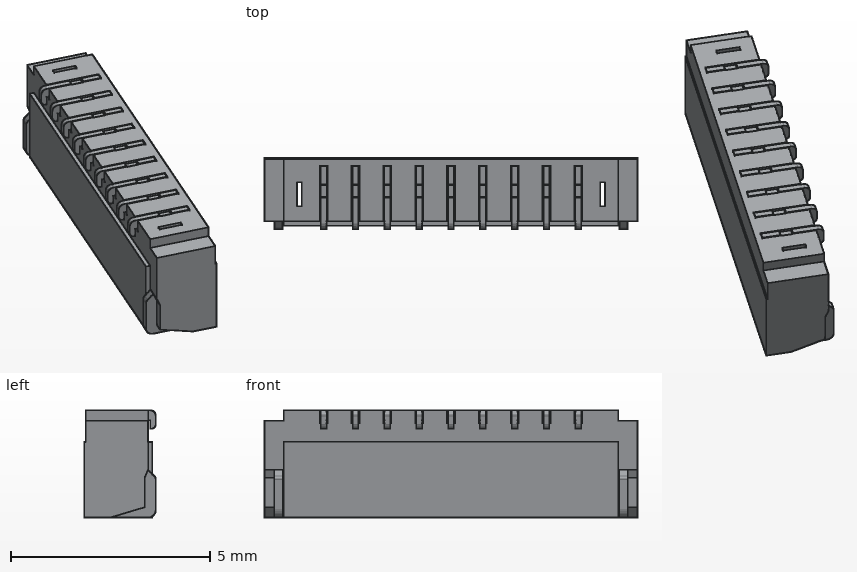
import cadquery as cq

LENGTH = 9.38
HEIGHT = 2.7
DEPTH_LOWER = 1.6
DEPTH_UPPER = 1.57
PANEL_TOP = 1.9
END_STEP_DROP = 0.26
END_STEP_LENGTH = 0.49
PANEL_THICKNESS = 0.11
PROUD = 0.2

CONTACT_COUNT = 9
ROW_LENGTH = 6.4
CONTACT_WIDTH = 0.15
SLOT_WIDTH = 0.21
SLOT_DEPTH = 0.33
SLOT_BACK = 1.4
SLOT_END_GAP = 0.01
CONTACT_THICKNESS = 0.25
TAIL_THICKNESS = 0.14
TAIL_LENGTH = 0.47
BEND_RADIUS = 0.14
TIP_RADIUS = 0.11
DIP_FRONT = 0.6
DIP_BACK = 0.93
DIP_DEPTH = 0.04
DIP_RAMP = 0.02

WINDOW_X = 3.81
WINDOW_WIDTH = 0.11
WINDOW_FRONT = 0.38
WINDOW_BACK = 0.985

NOTCH_DEPTH = 0.08
NOTCH_TOP = 1.2
NOTCH_SHOULDER = 1.0
NOTCH_FOOT = 0.26
NOTCH_TAIL = 0.97
CLIP_INSET = 0.25
CLIP_WIDTH = 0.21
CLIP_TOP = 1.2
CLIP_SHOULDER = 1.01
CLIP_SHOULDER_RADIUS = 0.12
CLIP_FOOT_RADIUS = 0.2


def block(x_size, y_min, y_max, z_min, z_max, x_mid=0.0):
    """Box centred on x_mid along X, given by its limits along Y and Z."""
    return (
        cq.Workplane("XY")
        .box(x_size, y_max - y_min, z_max - z_min, centered=(True, False, False))
        .translate((x_mid, y_min, z_min))
    )


def side_profile(points, x_min, width):
    """Outline of (Y, Z) points extruded along X from x_min."""
    return cq.Workplane("YZ").workplane(offset=x_min).polyline(points).close().extrude(width)


def both_ends(shape):
    return shape.union(shape.mirror("YZ"))


def make_housing():
    panel_length = LENGTH - 2 * END_STEP_LENGTH
    lower = block(LENGTH, 0, DEPTH_LOWER, 0, PANEL_TOP)
    upper = block(LENGTH, 0, DEPTH_UPPER, PANEL_TOP, HEIGHT - END_STEP_DROP)
    ridge = block(panel_length, 0, DEPTH_UPPER, PANEL_TOP, HEIGHT)
    panel = block(panel_length, -PANEL_THICKNESS, 0, 0, PANEL_TOP)
    return lower.union(upper).union(ridge).union(panel)


def make_windows():
    return both_ends(block(WINDOW_WIDTH, WINDOW_FRONT, WINDOW_BACK, 0, HEIGHT, WINDOW_X))


def make_notches():
    outline = [
        (0, NOTCH_TOP),
        (NOTCH_DEPTH, NOTCH_SHOULDER),
        (NOTCH_DEPTH, NOTCH_FOOT),
        (NOTCH_TAIL, 0),
        (0, 0),
    ]
    return both_ends(side_profile(outline, -LENGTH / 2, CLIP_INSET))


def make_clips():
    outline = [
        (0, CLIP_TOP),
        (-PROUD, CLIP_SHOULDER),
        (-PROUD, 0),
        (NOTCH_DEPTH, 0),
        (NOTCH_DEPTH, CLIP_TOP),
    ]
    clip = side_profile(outline, -LENGTH / 2 + CLIP_INSET, CLIP_WIDTH)
    clip = clip.faces("<Y").edges("|X").edges(">Z").fillet(CLIP_SHOULDER_RADIUS)
    clip = clip.faces("<Y").edges("|X").edges("<Z").fillet(CLIP_FOOT_RADIUS)
    return both_ends(clip)


def make_slot(x_mid):
    return block(SLOT_WIDTH, 0, SLOT_BACK, HEIGHT - SLOT_DEPTH, HEIGHT, x_mid)


def make_contact(x_mid):
    """Flat contact with a shallow dip in its top and a tail bent down in front of the housing."""
    tail_inner = TAIL_THICKNESS - PROUD
    contact_back = SLOT_BACK - SLOT_END_GAP
    underside = HEIGHT - CONTACT_THICKNESS
    outline = [
        (-PROUD, HEIGHT),
        (DIP_FRONT, HEIGHT),
        (DIP_FRONT + DIP_RAMP, HEIGHT - DIP_DEPTH),
        (DIP_BACK - DIP_RAMP, HEIGHT - DIP_DEPTH),
        (DIP_BACK, HEIGHT),
        (contact_back, HEIGHT),
        (contact_back, HEIGHT - SLOT_DEPTH),
        (0, HEIGHT - SLOT_DEPTH),
        (0, underside),
        (tail_inner, underside),
        (tail_inner, HEIGHT - TAIL_LENGTH),
        (-PROUD, HEIGHT - TAIL_LENGTH),
    ]
    contact = side_profile(outline, x_mid - CONTACT_WIDTH / 2, CONTACT_WIDTH)
    contact = contact.faces("<Y").edges("|X").edges(">Z").fillet(BEND_RADIUS)
    return contact.faces("<Y").edges("|X").edges("<Z").fillet(TIP_RADIUS)


result = make_housing().cut(make_windows()).cut(make_notches()).union(make_clips())

pitch = ROW_LENGTH / (CONTACT_COUNT - 1)
for index in range(CONTACT_COUNT):
    contact_x = index * pitch - ROW_LENGTH / 2
    result = result.cut(make_slot(contact_x)).union(make_contact(contact_x))